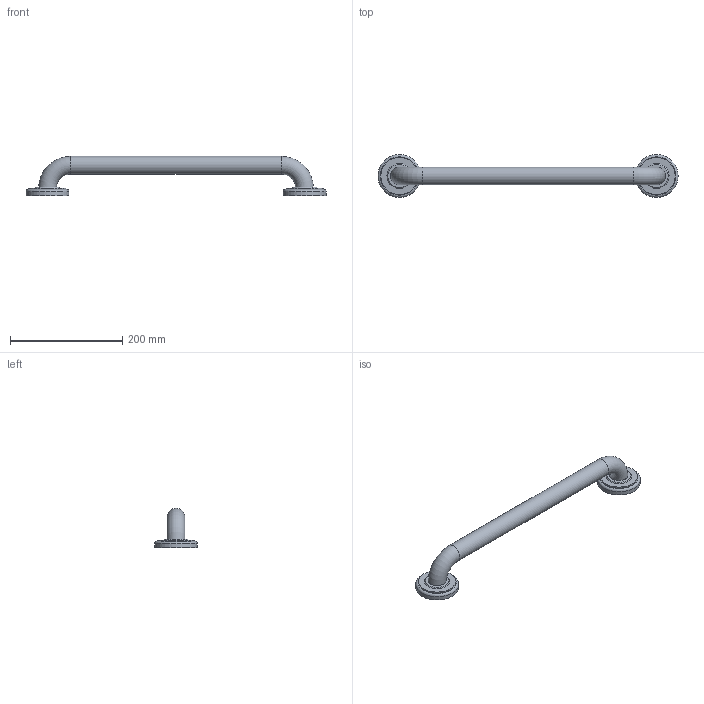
import cadquery as cq

mount_spacing = 457.2
overall_height = 69.85
tube_diameter = 31.75
bend_radius = 41.275

flange_diameter = 76.2
base_height = 11.1
base_edge_radius = 4.06
face_height = 13.5
face_diameter = 66.04
collar_height = 15.25
collar_base_diameter = 44.5
collar_top_diameter = 41.2

tube_axis_height = overall_height - tube_diameter / 2
bend_start_height = tube_axis_height - bend_radius
mount_x = mount_spacing / 2
straight_end_x = mount_x - bend_radius


def make_flange(center_x):
    """Mounting flange, revolved from half of its cross-section."""
    flange_radius = flange_diameter / 2
    section = (
        cq.Workplane("XZ")
        .lineTo(flange_radius, 0)
        .lineTo(flange_radius, base_height - base_edge_radius)
        .radiusArc((flange_radius - base_edge_radius, base_height), -base_edge_radius)
        .lineTo(face_diameter / 2, base_height)
        .lineTo(face_diameter / 2, face_height)
        .lineTo(collar_base_diameter / 2, face_height)
        .lineTo(collar_top_diameter / 2, collar_height)
        .lineTo(0, collar_height)
        .close()
    )
    return section.revolve(360, (0, 0), (0, 1)).translate((center_x, 0, 0))


def make_tube():
    """Solid rail: a straight run with a quarter bend down into each flange."""
    path = (
        cq.Workplane("XZ")
        .moveTo(-mount_x, bend_start_height)
        .radiusArc((-straight_end_x, tube_axis_height), bend_radius)
        .lineTo(straight_end_x, tube_axis_height)
        .radiusArc((mount_x, bend_start_height), bend_radius)
    )
    profile = cq.Workplane("XY", origin=(-mount_x, 0, bend_start_height)).circle(tube_diameter / 2)
    return profile.sweep(path)


result = make_tube()
for flange_x in (-mount_x, mount_x):
    result = result.union(make_flange(flange_x))